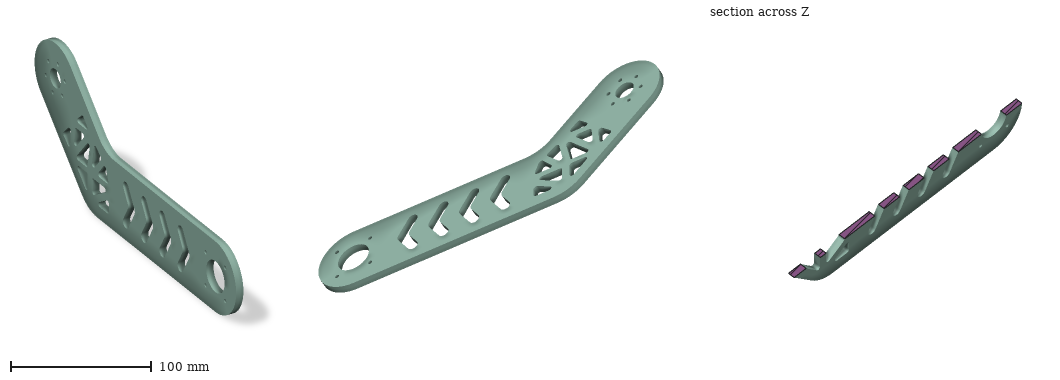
import cadquery as cq
import math

THICKNESS = 6.0
ARM_WIDTH = 57.0
END_RADIUS = ARM_WIDTH / 2
ELBOW_RADIUS = 30.0
BEND_ANGLE = 45.0
SHORT_ARM_RISE = 56.89
LONG_ARM_LENGTH = 163.0

SMALL_HUB = (-SHORT_ARM_RISE / math.tan(math.radians(BEND_ANGLE)), SHORT_ARM_RISE)
SMALL_HUB_BORE = 15.0
SMALL_BOLT_COUNT = 6
SMALL_BOLT_CIRCLE_RADIUS = 13.5
SMALL_BOLT_START_ANGLE = 15.0
SMALL_BOLT_DIAMETER = 3.2

LARGE_HUB = (LONG_ARM_LENGTH, 0.0)
LARGE_HUB_BORE = 25.0
LARGE_BOLT_COUNT = 4
LARGE_BOLT_CIRCLE_RADIUS = 19.0
LARGE_BOLT_START_ANGLE = 45.0
LARGE_BOLT_DIAMETER = 3.2

CHEVRON_COUNT = 4
CHEVRON_PITCH = 25.0
CHEVRON_FIRST_X = 40.0
CHEVRON_HALF_HEIGHT = 14.6
CHEVRON_LEG_ANGLE = 60.0
CHEVRON_WIDTH = 8.0
CHEVRON_TIP_RADIUS = 5.0

WINDOW_CORNER_RADIUS = 2.0
WINDOWS = [
    [(-19.7, 45.2), (-29.7, 35.5), (-9.9, 35.5)],
    [(-29.9, 30.3), (-15.3, 30.3), (-31.7, 11.5)],
    [(-35.2, 29.2), (-47.0, 17.5), (-36.8, 8.4)],
    [(-8.2, 30.7), (-29.9, 5.4), (-13.1, 5.4)],
    [(-3.3, 29.5), (6.9, 21.7), (-7.7, 4.7)],
    [(11.5, 19.8), (16.8, 5.4), (-0.1, 5.4)],
    [(-29.2, 1.1), (-12.4, 1.1), (-12.4, -16.1)],
    [(-6.3, 0.4), (17.3, 0.4), (-6.3, -14.1)],
    [(16.8, -6.6), (16.8, -18.6), (-2.7, -18.6)],
]


def face_sketch():
    """Workplane on the +Y face of the plate, with local axes X and Z; extrusions run toward -Y."""
    return cq.Workplane("XZ", origin=(0, THICKNESS / 2, 0))


def extrude_outline(points, corner_radius):
    """Prism through the plate, from sharp corners that are then all rounded."""
    return face_sketch().polyline(points).close().extrude(THICKNESS).edges("|Y").fillet(corner_radius)


def disc(center, diameter):
    return face_sketch().center(*center).circle(diameter / 2).extrude(THICKNESS)


def arm_body():
    """Bent strip of constant width with rounded bends and full-round ends."""
    bend = math.radians(BEND_ANGLE)
    side = (END_RADIUS * math.sin(bend), END_RADIUS * math.cos(bend))
    corner = (END_RADIUS * math.tan(bend / 2), END_RADIUS)
    hub_x, hub_z = SMALL_HUB
    strip = (
        face_sketch()
        .moveTo(hub_x + side[0], hub_z + side[1])
        .lineTo(*corner)
        .lineTo(LONG_ARM_LENGTH, END_RADIUS)
        .threePointArc((LONG_ARM_LENGTH + END_RADIUS, 0), (LONG_ARM_LENGTH, -END_RADIUS))
        .lineTo(-corner[0], -corner[1])
        .lineTo(hub_x - side[0], hub_z - side[1])
        .threePointArc((hub_x - side[1], hub_z + side[0]), (hub_x + side[0], hub_z + side[1]))
        .close()
        .extrude(THICKNESS)
    )
    for sign in (1, -1):
        bend_edge = cq.selectors.NearestToPointSelector((sign * corner[0], 0, sign * corner[1]))
        strip = strip.edges("|Y").edges(bend_edge).fillet(ELBOW_RADIUS)
    return strip


def hub_holes(center, bore, bolt_count, bolt_circle_radius, start_angle, bolt_diameter):
    """Central bore and its ring of bolt holes."""
    bolts = (
        face_sketch()
        .center(*center)
        .polarArray(bolt_circle_radius, start_angle, 360, bolt_count)
        .circle(bolt_diameter / 2)
        .extrude(THICKNESS)
    )
    return disc(center, bore).union(bolts)


def chevron(end_x):
    """V-shaped slot pointing to +X, with round leg ends and a rounded tip."""
    leg = math.radians(CHEVRON_LEG_ANGLE)
    tip_x = end_x + CHEVRON_HALF_HEIGHT / math.tan(leg)
    half_width = CHEVRON_WIDTH / 2
    side = (half_width * math.sin(leg), half_width * math.cos(leg))
    tip_offset = half_width / math.sin(leg)
    top = CHEVRON_HALF_HEIGHT
    points = [
        (end_x + side[0], top + side[1]),
        (tip_x + tip_offset, 0),
        (end_x + side[0], -top - side[1]),
        (end_x - side[0], -top + side[1]),
        (tip_x - tip_offset, 0),
        (end_x - side[0], top - side[1]),
    ]
    slot = face_sketch().polyline(points).close().extrude(THICKNESS)
    for x in (tip_x - tip_offset, tip_x + tip_offset):
        tip_edge = cq.selectors.NearestToPointSelector((x, 0, 0))
        slot = slot.edges("|Y").edges(tip_edge).fillet(CHEVRON_TIP_RADIUS)
    for z in (-top, top):
        slot = slot.union(disc((end_x, z), CHEVRON_WIDTH))
    return slot


result = arm_body()
result = result.cut(
    hub_holes(
        SMALL_HUB,
        SMALL_HUB_BORE,
        SMALL_BOLT_COUNT,
        SMALL_BOLT_CIRCLE_RADIUS,
        SMALL_BOLT_START_ANGLE,
        SMALL_BOLT_DIAMETER,
    )
)
result = result.cut(
    hub_holes(
        LARGE_HUB,
        LARGE_HUB_BORE,
        LARGE_BOLT_COUNT,
        LARGE_BOLT_CIRCLE_RADIUS,
        LARGE_BOLT_START_ANGLE,
        LARGE_BOLT_DIAMETER,
    )
)
for index in range(CHEVRON_COUNT):
    result = result.cut(chevron(CHEVRON_FIRST_X + index * CHEVRON_PITCH))
for window in WINDOWS:
    result = result.cut(extrude_outline(window, WINDOW_CORNER_RADIUS))